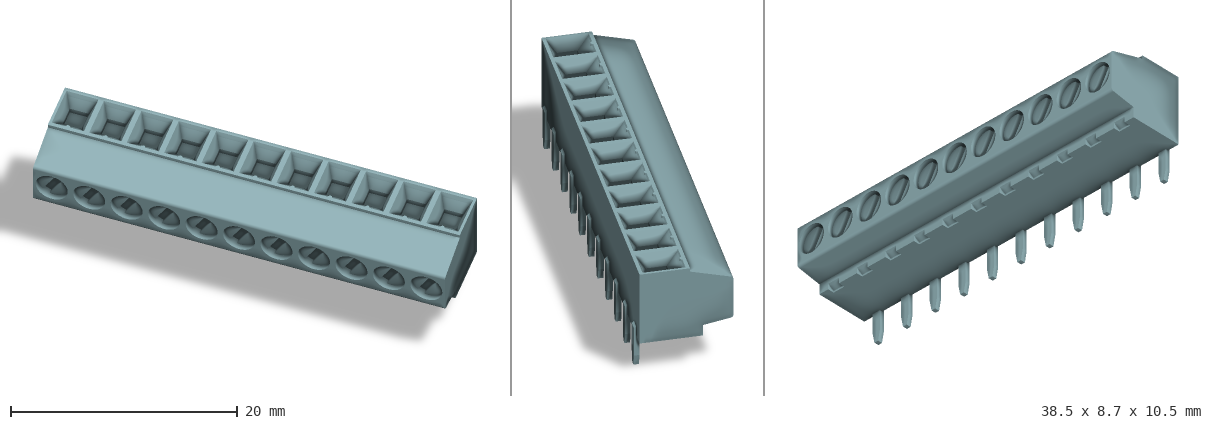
import cadquery as cq
import math

POLES = 11
PITCH = 3.5
LENGTH = POLES * PITCH

TOTAL_DEPTH = 8.7
PIN_OVERHANG = 0.2
BODY_DEPTH = TOTAL_DEPTH - PIN_OVERHANG
TOTAL_HEIGHT = 10.5
PIN_DROP = 3.2
BODY_HEIGHT = TOTAL_HEIGHT - PIN_DROP
TOP_DEPTH = 4.57
TOP_STEP = 0.35
FRONT_BOTTOM_Z = 1.55
FRONT_FACE_HEIGHT = 4.25
FRONT_TOP_Z = FRONT_BOTTOM_Z + FRONT_FACE_HEIGHT
FOOT_DEPTH = 5.72
FOOT_HEIGHT = 1.1
FRONT_EDGE_RADIUS = 0.3

SCREW_Z = 3.77
SCREW_BORE_DIAMETER = 3.0
SCREW_HEAD_DIAMETER = 2.8
SCREW_RECESS = 0.47
HEAD_GAP_DEPTH = 0.5
SLOT_WIDTH = 0.75
SLOT_DEPTH = HEAD_GAP_DEPTH
SLOT_ANGLE = 60

FUNNEL_WIDTH = 3.0
FUNNEL_BACK = 0.33
FUNNEL_FRONT = 4.22
WELL_WIDTH = 1.77
WELL_BACK = 1.2
WELL_FRONT = 3.05
RIM_ANGLE = 60
RIM_BACK_RUN = 0.22
RIM_FRONT_RUN = 0.1
FUNNEL_DEPTH = 1.22
WELL_DEPTH = 0.5
TAB_RADIUS = 0.2

PIN_WIDTH = 0.9
PIN_TIP_WIDTH = 0.45
PIN_TAPER = 1.1
PIN_THICKNESS = 0.5
PIN_TOP_Z = 1.0
PIN_TOP_CHAMFER = PIN_OVERHANG
RELIEF_WIDTH = 1.3
RELIEF_HEIGHT = 0.6
RELIEF_BACK_HEIGHT = 0.2
RELIEF_ROOF_ANGLE = 30
RELIEF_RISE = RELIEF_HEIGHT - RELIEF_BACK_HEIGHT
RELIEF_DEPTH = RELIEF_RISE / math.tan(math.radians(RELIEF_ROOF_ANGLE))


def profile(points, width):
    """Extrude a closed YZ outline symmetrically about X = 0."""
    return cq.Workplane("YZ").polyline(points).close().extrude(width / 2, both=True)


def make_housing():
    outline = [
        (0, 0),
        (0, BODY_HEIGHT),
        (-TOP_DEPTH, BODY_HEIGHT),
        (-TOP_DEPTH, BODY_HEIGHT - TOP_STEP),
        (-BODY_DEPTH, FRONT_TOP_Z),
        (-BODY_DEPTH, FRONT_BOTTOM_Z),
        (-FOOT_DEPTH, FOOT_HEIGHT),
        (-FOOT_DEPTH, 0),
    ]
    front_edges = cq.selectors.BoxSelector(
        (-LENGTH, -BODY_DEPTH - FRONT_EDGE_RADIUS, 0),
        (LENGTH, -BODY_DEPTH + FRONT_EDGE_RADIUS, BODY_HEIGHT),
    )
    return profile(outline, LENGTH).edges("|X").edges(front_edges).fillet(FRONT_EDGE_RADIUS)


def front_cylinder(diameter, start, depth):
    """Cylinder on the screw axis, running back from a given depth behind the front face."""
    plane = cq.Plane(origin=(0, -BODY_DEPTH + start, SCREW_Z), xDir=(1, 0, 0), normal=(0, -1, 0))
    return cq.Workplane(plane).circle(diameter / 2).extrude(-depth)


def make_screw_cut():
    """Screw bore, leaving the recessed slotted head standing inside it."""
    bore = front_cylinder(SCREW_BORE_DIAMETER, 0, SCREW_RECESS + HEAD_GAP_DEPTH)
    head = front_cylinder(SCREW_HEAD_DIAMETER, SCREW_RECESS, HEAD_GAP_DEPTH)
    slot = (
        cq.Workplane("XY")
        .box(SCREW_HEAD_DIAMETER, SLOT_DEPTH, SLOT_WIDTH)
        .rotate((0, 0, 0), (0, 1, 0), -SLOT_ANGLE)
        .translate((0, -BODY_DEPTH + SCREW_RECESS + SLOT_DEPTH / 2, SCREW_Z))
    )
    return bore.cut(head.cut(slot))


def make_funnel_cut():
    """Wire funnel, leaving a half-round tab standing at the middle of its front wall."""
    rim_z = BODY_HEIGHT
    rim_slope = math.tan(math.radians(RIM_ANGLE))
    well_z = rim_z - FUNNEL_DEPTH
    floor_z = well_z - WELL_DEPTH
    side = [
        (-FUNNEL_BACK, rim_z),
        (-FUNNEL_BACK - RIM_BACK_RUN, rim_z - RIM_BACK_RUN * rim_slope),
        (-WELL_BACK, well_z),
        (-WELL_BACK, floor_z),
        (-WELL_FRONT, floor_z),
        (-WELL_FRONT, well_z),
        (-FUNNEL_FRONT + RIM_FRONT_RUN, rim_z - RIM_FRONT_RUN * rim_slope),
        (-FUNNEL_FRONT, rim_z),
    ]
    face = [
        (-FUNNEL_WIDTH / 2, rim_z),
        (-WELL_WIDTH / 2, well_z),
        (-WELL_WIDTH / 2, floor_z),
        (WELL_WIDTH / 2, floor_z),
        (WELL_WIDTH / 2, well_z),
        (FUNNEL_WIDTH / 2, rim_z),
    ]
    across = cq.Workplane("XZ").polyline(face).close().extrude(BODY_DEPTH)
    tab = (
        cq.Workplane("XY", origin=(0, -FUNNEL_FRONT, rim_z))
        .circle(TAB_RADIUS)
        .extrude(-FUNNEL_DEPTH)
    )
    return profile(side, FUNNEL_WIDTH).intersect(across).cut(tab)


def make_relief_cut():
    outline = [
        (-FOOT_DEPTH, 0),
        (-FOOT_DEPTH, RELIEF_HEIGHT),
        (-FOOT_DEPTH + RELIEF_DEPTH, RELIEF_BACK_HEIGHT),
        (-FOOT_DEPTH + RELIEF_DEPTH, 0),
    ]
    return profile(outline, RELIEF_WIDTH)


def make_pin():
    front_y = PIN_OVERHANG - PIN_THICKNESS
    side = [
        (front_y, -PIN_DROP),
        (front_y, PIN_TOP_Z),
        (PIN_OVERHANG - PIN_TOP_CHAMFER, PIN_TOP_Z),
        (PIN_OVERHANG, PIN_TOP_Z - PIN_TOP_CHAMFER),
        (PIN_OVERHANG, -PIN_DROP),
    ]
    taper_z = PIN_TAPER - PIN_DROP
    face = [
        (-PIN_TIP_WIDTH / 2, -PIN_DROP),
        (-PIN_WIDTH / 2, taper_z),
        (-PIN_WIDTH / 2, PIN_TOP_Z),
        (PIN_WIDTH / 2, PIN_TOP_Z),
        (PIN_WIDTH / 2, taper_z),
        (PIN_TIP_WIDTH / 2, -PIN_DROP),
    ]
    blade = cq.Workplane("XZ").polyline(face).close().extrude(PIN_THICKNESS, both=True)
    return profile(side, PIN_WIDTH).intersect(blade)


def make_block():
    block = make_housing()
    cuts = [make_screw_cut(), make_funnel_cut(), make_relief_cut()]
    pin = make_pin()
    for pole in range(POLES):
        offset = ((pole - (POLES - 1) / 2) * PITCH, 0, 0)
        for cut in cuts:
            block = block.cut(cut.translate(offset))
        block = block.union(pin.translate(offset))
    return block


result = make_block()